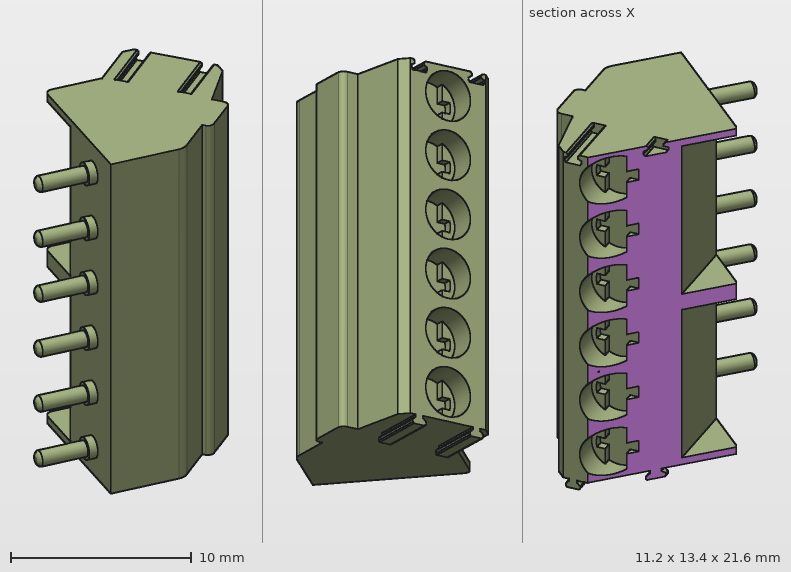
import cadquery as cq
import math


TOTAL_HEIGHT = 21.57
BODY_HEIGHT = 21.0
BODY_WIDTH = 11.22
BODY_DEPTH = 9.92
TOTAL_DEPTH = 13.42
POLES = 6
PITCH = BODY_HEIGHT / POLES

ENTRY_LOW = 6.43
UNDERCUT_TOP = 5.72
CREST_END = 4.2
SHOULDER_X = 6.88
SHOULDER_Y = 8.07
BUMP_LENGTH = 2.85
BUMP_RISE = 1.08
BUMP_RADIUS = 0.37
BACK_CORNER_Y = 4.46
BACK_RADIUS = 0.86

FOOT_X = 2.22
FOOT_RADIUS = 0.45
END_FOOT = 0.47
MIDDLE_FOOT = 1.04

PIN_X = 8.8
PIN_DIAMETER = 0.95
TIP_FLAT_DIAMETER = 0.25
TIP_LENGTH = 0.24
TIP_ARC_RADIUS = 0.37
COLLAR_DIAMETER = 1.32
COLLAR_LENGTH = 0.52

BORE_DIAMETER = 2.93
BORE_DEPTH = 1.62
RECESS_DEPTH = 0.52
RECESS_WIDTH = 1.3
KEYWAY_LENGTH = 2.37
KEYWAY_WIDTH = 0.67

JOINT_SPACING = 3.75
JOINT_LENGTH = 3.54
GROOVE_SECTION = [(0.4, 0), (0.3, 0.1), (0.3, 0.24), (0.52, 0.37), (0.52, 0.5), (0.43, 0.65)]
RAIL_HEIGHT = TOTAL_HEIGHT - BODY_HEIGHT
RAIL_SECTION = [(0.24, 0), (0.24, 0.13), (0.43, 0.32), (0.43, 0.47), (0.37, RAIL_HEIGHT)]

CREST_START = BODY_DEPTH - ENTRY_LOW
ENTRY_MID = (CREST_START / 2, (ENTRY_LOW + BODY_DEPTH) / 2)


def diagonal(point, right, up):
    """Move from a point by distances along the (+X, -Y) and (+X, +Y) diagonals."""
    root = math.sqrt(2)
    return (point[0] + (right + up) / root, point[1] + (up - right) / root)


def entry_plane(z):
    """Plane on the entry face, with local x down the face and local y along +Z."""
    return cq.Workplane(cq.Plane((*ENTRY_MID, z), (-1, -1, 0), (-1, 1, 0)))


def make_body():
    shoulder = (SHOULDER_X, SHOULDER_Y)
    bump_crest = diagonal(shoulder, 0, BUMP_RISE)
    bump_end = diagonal(bump_crest, BUMP_LENGTH, 0)
    back_sum = BODY_WIDTH + BACK_CORNER_Y
    drop = (sum(bump_end) - back_sum) / 2
    bump_foot = (bump_end[0] - drop, bump_end[1] - drop)
    back_corner = (BODY_WIDTH, BACK_CORNER_Y)
    body = (
        cq.Workplane("XY")
        .polyline([
            (UNDERCUT_TOP, 0),
            (BODY_WIDTH, 0),
            back_corner,
            bump_foot,
            bump_end,
            bump_crest,
            shoulder,
            (CREST_END, BODY_DEPTH),
            (CREST_START, BODY_DEPTH),
            (0, ENTRY_LOW),
            (0, UNDERCUT_TOP),
        ])
        .close()
        .extrude(BODY_HEIGHT)
    )
    for corner, radius in [
        (back_corner, BACK_RADIUS),
        (bump_crest, BUMP_RADIUS),
        (bump_end, BUMP_RADIUS),
    ]:
        edge = cq.selectors.NearestToPointSelector((*corner, BODY_HEIGHT / 2))
        body = body.edges("|Z").edges(edge).fillet(radius)
    return body


def make_foot(bottom, thickness):
    return (
        cq.Workplane("XY", origin=(0, 0, bottom))
        .moveTo(UNDERCUT_TOP, 0)
        .lineTo(FOOT_X, UNDERCUT_TOP - FOOT_X)
        .lineTo(FOOT_X, FOOT_RADIUS)
        .radiusArc((FOOT_X + FOOT_RADIUS, 0), -FOOT_RADIUS)
        .close()
        .extrude(thickness)
    )


def make_pin(z):
    pin_end = BODY_DEPTH - TOTAL_DEPTH
    pin = (
        cq.Workplane("XY")
        .lineTo(COLLAR_DIAMETER / 2, 0)
        .lineTo(COLLAR_DIAMETER / 2, -COLLAR_LENGTH)
        .lineTo(PIN_DIAMETER / 2, -COLLAR_LENGTH)
        .lineTo(PIN_DIAMETER / 2, pin_end + TIP_LENGTH)
        .radiusArc((TIP_FLAT_DIAMETER / 2, pin_end), TIP_ARC_RADIUS)
        .lineTo(0, pin_end)
        .close()
        .revolve(360, (0, 0), (0, 1))
    )
    return pin.translate((PIN_X, 0, z))


def make_wire_entry(z):
    """Cutter for one wire entry."""
    face = entry_plane(z)
    full_depth = BORE_DEPTH + RECESS_DEPTH
    bore = face.circle(BORE_DIAMETER / 2).extrude(-BORE_DEPTH)
    cross_slot = (
        face.rect(RECESS_WIDTH, BORE_DIAMETER).extrude(-full_depth)
        .intersect(face.circle(BORE_DIAMETER / 2).extrude(-full_depth))
    )
    keyway = (
        face.rect(KEYWAY_LENGTH, KEYWAY_WIDTH).extrude(-full_depth)
        .intersect(face.circle(KEYWAY_LENGTH / 2).extrude(-full_depth))
    )
    return bore.union(cross_slot).union(keyway)


def make_joints(section, z):
    """Pair of dovetail bars running inward from the entry face, hanging below z."""
    right_side = [(half_width, -depth) for half_width, depth in section]
    left_side = [(-x, y) for x, y in reversed(right_side)]
    bar = entry_plane(z).polyline(right_side + left_side).close().extrude(-JOINT_LENGTH)
    offset = JOINT_SPACING / 2 / math.sqrt(2)
    return bar.translate((offset, offset, 0)).union(bar.translate((-offset, -offset, 0)))


result = make_body()

for foot_bottom, foot_thickness in [
    (0, END_FOOT),
    ((BODY_HEIGHT - MIDDLE_FOOT) / 2, MIDDLE_FOOT),
    (BODY_HEIGHT - END_FOOT, END_FOOT),
]:
    result = result.union(make_foot(foot_bottom, foot_thickness))

for pole in range(POLES):
    pole_z = (pole + 0.5) * PITCH
    result = result.union(make_pin(pole_z)).cut(make_wire_entry(pole_z))

result = result.cut(make_joints(GROOVE_SECTION, BODY_HEIGHT))
result = result.union(make_joints(RAIL_SECTION, 0))